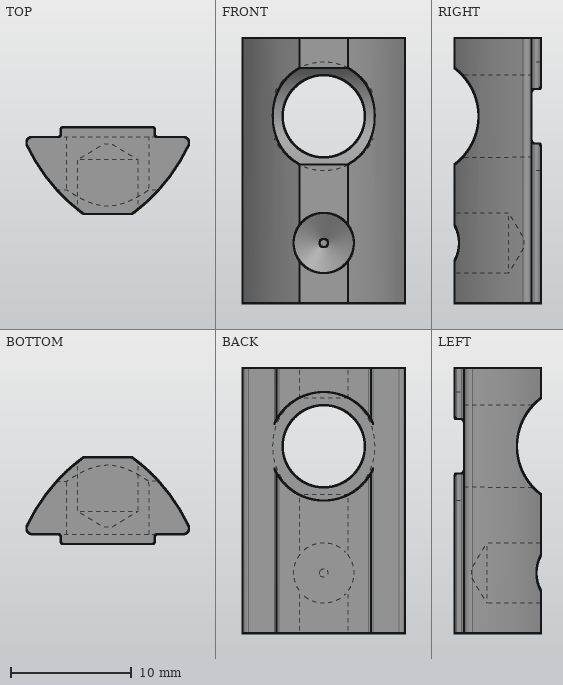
import cadquery as cq
import math

WIDTH = 13.5
THICKNESS = 7.2
LENGTH = 22.0

NOSE_WIDTH = 4.0
RAIL_WIDTH = 7.8
RAIL_HEIGHT = 0.8
RAIL_RADIUS = 0.2
CORNER_RADIUS = 0.5
FLANK_RADIUS = 15.0

HOLE_Z = 15.5
HOLE_DIAMETER = 6.8
COUNTERBORE_DIAMETER = 9.0
COUNTERBORE_DEPTH = RAIL_HEIGHT
GROOVE_RADIUS = 5.0
GROOVE_DEPTH = 2.0

POCKET_Z = 5.0
POCKET_DIAMETER = 5.0
POCKET_WALL_DEPTH = 4.5
POCKET_TIP_DIAMETER = 0.7
POCKET_CONE_ANGLE = 118.0

SHOULDER_Y = THICKNESS - RAIL_HEIGHT


def point_towards(start, target, distance):
    """Point at a given distance from start, on the line through target."""
    span = math.dist(start, target)
    return tuple(s + (t - s) * distance / span for s, t in zip(start, target))


def flank_center(nose_edge, corner_center):
    """Center of the flank arc that meets the nose edge and is tangent to the corner arc."""
    to_nose = FLANK_RADIUS
    to_corner = FLANK_RADIUS - CORNER_RADIUS
    span = math.dist(nose_edge, corner_center)
    along = (to_nose**2 - to_corner**2 + span**2) / (2 * span)
    aside = math.sqrt(to_nose**2 - along**2)
    dir_x = (corner_center[0] - nose_edge[0]) / span
    dir_y = (corner_center[1] - nose_edge[1]) / span
    return (
        nose_edge[0] + along * dir_x - aside * dir_y,
        nose_edge[1] + along * dir_y + aside * dir_x,
    )


def make_half_body():
    """Right half of the body (x >= 0), extruded along Z."""
    nose_edge = (NOSE_WIDTH / 2, 0)
    corner_center = (WIDTH / 2 - CORNER_RADIUS, SHOULDER_Y - CORNER_RADIUS)
    center = flank_center(nose_edge, corner_center)
    flank_end = point_towards(center, corner_center, FLANK_RADIUS)
    chord_middle = ((nose_edge[0] + flank_end[0]) / 2, (nose_edge[1] + flank_end[1]) / 2)
    flank_middle = point_towards(center, chord_middle, FLANK_RADIUS)
    corner_side = (WIDTH / 2, corner_center[1])
    corner_top = (corner_center[0], SHOULDER_Y)
    half_rail = RAIL_WIDTH / 2

    half = (
        cq.Workplane("XY")
        .moveTo(0, 0)
        .lineTo(*nose_edge)
        .threePointArc(flank_middle, flank_end)
        .threePointArc(corner_side, corner_top)
        .lineTo(half_rail + RAIL_RADIUS, SHOULDER_Y)
        .radiusArc((half_rail, SHOULDER_Y + RAIL_RADIUS), RAIL_RADIUS)
        .lineTo(half_rail, THICKNESS - RAIL_RADIUS)
        .radiusArc((half_rail - RAIL_RADIUS, THICKNESS), -RAIL_RADIUS)
        .lineTo(0, THICKNESS)
        .close()
        .extrude(LENGTH)
    )
    return half


def make_body():
    """Full symmetric body."""
    half = make_half_body()
    return half.union(half.mirror("YZ")).clean()


def cylinder_along_y(diameter, z, start_y, end_y):
    """Cylinder on the mid-plane with its axis along Y."""
    axis_start = cq.Vector(0, start_y, z)
    return cq.Workplane(
        cq.Solid.makeCylinder(diameter / 2, end_y - start_y, axis_start, cq.Vector(0, 1, 0))
    )


def make_groove():
    """Round groove across the nose, running along X."""
    axis_start = cq.Vector(-WIDTH / 2, GROOVE_DEPTH - GROOVE_RADIUS, HOLE_Z)
    return cq.Workplane(
        cq.Solid.makeCylinder(GROOVE_RADIUS, WIDTH, axis_start, cq.Vector(1, 0, 0))
    )


def make_pocket():
    """Blind hole from the nose: straight wall, then a truncated cone."""
    radius = POCKET_DIAMETER / 2
    tip_radius = POCKET_TIP_DIAMETER / 2
    cone_depth = (radius - tip_radius) / math.tan(math.radians(POCKET_CONE_ANGLE / 2))
    wall = cylinder_along_y(POCKET_DIAMETER, POCKET_Z, 0, POCKET_WALL_DEPTH)
    cone_start = cq.Vector(0, POCKET_WALL_DEPTH, POCKET_Z)
    cone = cq.Solid.makeCone(radius, tip_radius, cone_depth, cone_start, cq.Vector(0, 1, 0))
    return wall.union(cq.Workplane(cone))


through_hole = cylinder_along_y(HOLE_DIAMETER, HOLE_Z, 0, THICKNESS)
counterbore = cylinder_along_y(
    COUNTERBORE_DIAMETER, HOLE_Z, THICKNESS - COUNTERBORE_DEPTH, THICKNESS
)

result = make_body()
for cutter in (make_groove(), through_hole, counterbore, make_pocket()):
    result = result.cut(cutter)